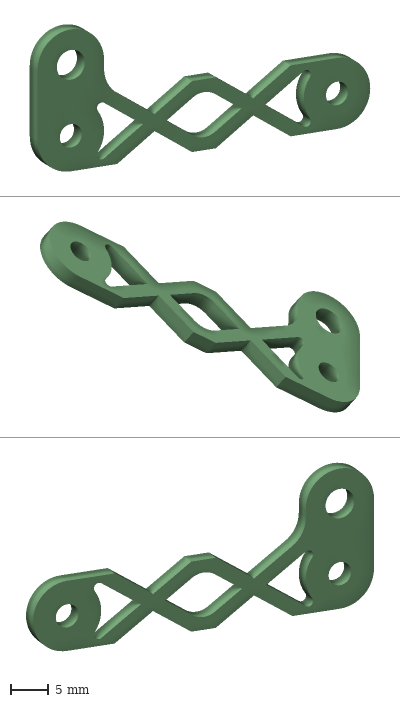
import cadquery as cq
import math

thickness = 2.3
end_radius = 5.0
hole_spacing = 40.0
lug_rise = 10.0
small_hole_diameter = 3.3
lug_hole_diameter = 4.2
strut_width = 2.0
strut_angle = math.radians(34)
pocket_corner_radius = 0.7
window_crown_radius = 3.0
lug_fillet_radius = 4.5

hole_y = hole_spacing / 2
lug_y = -hole_y
lug_inner_y = lug_y + end_radius

strut_slope = math.tan(strut_angle)
crossing_offset = end_radius / strut_slope

strut_half_height = strut_width / 2 / math.cos(strut_angle)
strut_half_run = strut_width / 2 / math.sin(strut_angle)

notch_half_run = (end_radius - strut_half_height) / strut_slope


def plate_from(sketch):
    """Give an outline in the YZ plane the plate thickness, centred on X = 0."""
    return sketch.extrude(thickness).translate((-thickness / 2, 0, 0))


def outline_plate(points):
    """Plate with straight sides through the given (y, z) corners."""
    return plate_from(cq.Workplane("YZ").polyline(points).close())


def round_plate(y, z, diameter):
    """Disc of plate thickness centred at (y, z)."""
    return plate_from(cq.Workplane("YZ").center(y, z).circle(diameter / 2))


def plate_blank():
    """Bar with rounded ends and an upright lug at its -Y end."""
    length = hole_spacing + 2 * end_radius
    height = lug_rise + 2 * end_radius
    bar = plate_from(cq.Workplane("YZ").slot2D(length, 2 * end_radius))
    lug = plate_from(
        cq.Workplane("YZ").center(lug_y, lug_rise / 2).slot2D(height, 2 * end_radius, 90)
    )
    return bar.union(lug)


def edge_notch(crossing_y, side):
    """V notch in the top (side = 1) or bottom (side = -1) of the bar at a crossing."""
    return outline_plate([
        (crossing_y - notch_half_run, side * end_radius),
        (crossing_y, side * strut_half_height),
        (crossing_y + notch_half_run, side * end_radius),
    ])


def lug_gusset():
    """Web that carries the strut edge on to the lug, with the inner corner filleted."""
    corner_z = strut_half_height + strut_slope * (-crossing_offset - lug_inner_y)
    web = outline_plate([
        (-crossing_offset, strut_half_height),
        (lug_inner_y, corner_z),
        (lug_inner_y, lug_rise),
        (lug_y, lug_rise),
        (lug_y, 0),
        (-crossing_offset, 0),
    ])
    corner = cq.selectors.NearestToPointSelector((0, lug_inner_y, corner_z))
    return web.edges("|X").edges(corner).fillet(lug_fillet_radius)


def polar(radius, angle, centre=(0, 0)):
    """Point at a radius and angle from a centre."""
    return (centre[0] + radius * math.cos(angle), centre[1] + radius * math.sin(angle))


def end_pocket(side):
    """Pocket between a crossing and an end boss, with rounded outer corners.

    Points are (towards mid-span, up) from the boss centre. Each corner arc touches
    the strut edge and, from outside, the boss.
    """
    apex_distance = hole_y - crossing_offset - strut_half_run
    edge_distance = apex_distance * math.sin(strut_angle)
    edge_normal_angle = math.pi / 2 - strut_angle
    corner_distance = end_radius + pocket_corner_radius
    corner_angle = edge_normal_angle - math.acos(
        (edge_distance - pocket_corner_radius) / corner_distance
    )
    corner = polar(corner_distance, corner_angle)
    boss_side_angle = corner_angle + math.pi
    arc_middle_angle = (edge_normal_angle + boss_side_angle) / 2

    edge_tangent = polar(pocket_corner_radius, edge_normal_angle, corner)
    arc_middle = polar(pocket_corner_radius, arc_middle_angle, corner)
    boss_tangent = polar(end_radius, corner_angle)

    def place(point, up=1):
        return (side * (hole_y - point[0]), up * point[1])

    outline = (
        cq.Workplane("YZ")
        .moveTo(*place((apex_distance, 0)))
        .lineTo(*place(edge_tangent))
        .threePointArc(place(arc_middle), place(boss_tangent))
        .threePointArc(place((end_radius, 0)), place(boss_tangent, -1))
        .threePointArc(place(arc_middle, -1), place(edge_tangent, -1))
        .close()
    )
    return plate_from(outline)


def centre_window():
    """Diamond between the two crossings, with its top and bottom rounded."""
    half_length = crossing_offset - strut_half_run
    half_height = strut_slope * half_length
    diamond = outline_plate([
        (-half_length, 0),
        (0, half_height),
        (half_length, 0),
        (0, -half_height),
    ])
    return diamond.edges("|X").edges("<Z or >Z").fillet(window_crown_radius)


result = plate_blank()
for end in (-1, 1):
    for face in (-1, 1):
        result = result.cut(edge_notch(end * crossing_offset, face))
result = result.union(lug_gusset())

result = result.cut(centre_window())
for end in (-1, 1):
    result = result.cut(end_pocket(end))
    result = result.cut(round_plate(end * hole_y, 0, small_hole_diameter))
result = result.cut(round_plate(lug_y, lug_rise, lug_hole_diameter))